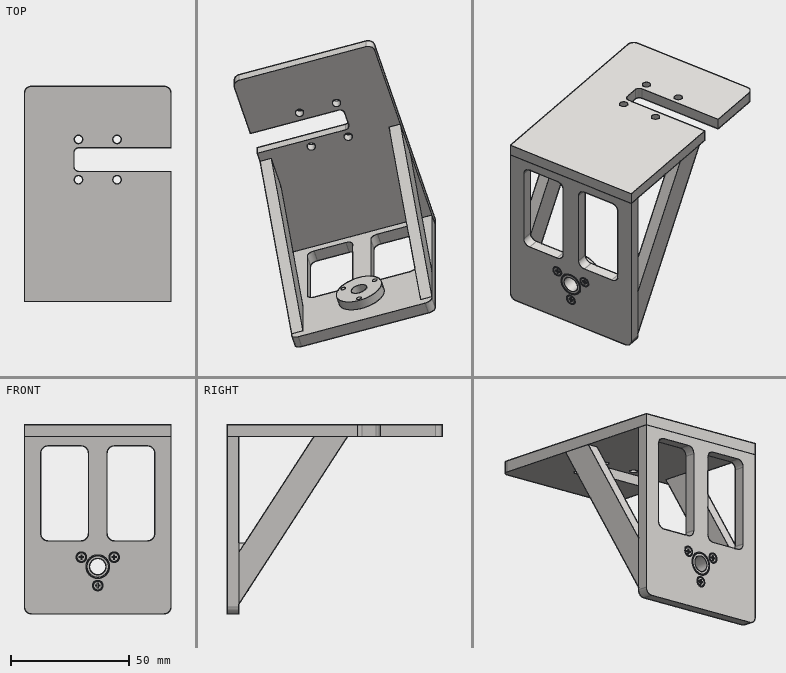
import cadquery as cq
import math

WIDTH = 62.0
DEPTH = 91.0
HEIGHT = 80.0
THICKNESS = 5.0
CORNER_RADIUS = 3.0
PLATE_UNDERSIDE = -THICKNESS

SLOT_CENTRE_Y = 60.0
SLOT_WIDTH = 9.9
SLOT_END_X = -10.0
SLOT_CORNER_RADIUS = 2.0
MOUNT_HOLE_DIAMETER = 3.5
MOUNT_HOLE_SPACING_X = 16.3
MOUNT_HOLE_SPACING_Y = 17.0

WINDOW_WIDTH = 20.0
WINDOW_HEIGHT = 40.0
WINDOW_GAP = 8.0
WINDOW_TOP = -9.0

BRACE_THICKNESS = 5.0
BRACE_OUTER_Y = 51.0
BRACE_INNER_Y = 36.7
BRACE_OUTER_Z = -75.9
BRACE_INNER_Z = -53.9

BUSHING_Z = -60.0
BUSHING_HOLE_DIAMETER = 10.0
BUSHING_DIAMETER = 9.0
BUSHING_BORE = 6.8
FLANGE_DIAMETER = 20.0
FLANGE_THICKNESS = 4.0

SCREW_COUNT = 3
SCREW_CIRCLE_RADIUS = 8.0
COUNTERBORE_DIAMETER = 4.5
HEAD_DIAMETER = 3.6
HEAD_HEIGHT = 2.0
SHANK_DIAMETER = 2.0
RECESS_LENGTH = 2.0
RECESS_WIDTH = 0.5
RECESS_DEPTH = 1.0


def cylinder(diameter, start_y, length, x=0, z=BUSHING_Z):
    """Cylinder along +Y, starting at start_y."""
    return cq.Workplane(cq.Solid.makeCylinder(
        diameter / 2, length, cq.Vector(x, start_y, z), cq.Vector(0, 1, 0)))


def screw_positions():
    """X and Z of the screws, evenly spaced with the first one straight below the bushing."""
    positions = []
    for index in range(SCREW_COUNT):
        angle = math.radians(-90 + index * 360 / SCREW_COUNT)
        x = SCREW_CIRCLE_RADIUS * math.cos(angle)
        z = BUSHING_Z + SCREW_CIRCLE_RADIUS * math.sin(angle)
        positions.append((x, z))
    return positions


def make_top_plate():
    plate = (
        cq.Workplane("XY", origin=(0, DEPTH / 2, PLATE_UNDERSIDE))
        .rect(WIDTH, DEPTH)
        .extrude(THICKNESS)
        .edges("|Z and >Y")
        .fillet(CORNER_RADIUS)
    )
    slot_length = WIDTH / 2 - SLOT_END_X
    slot = (
        cq.Workplane("XY", origin=(SLOT_END_X + slot_length / 2, SLOT_CENTRE_Y, PLATE_UNDERSIDE))
        .rect(slot_length, SLOT_WIDTH)
        .extrude(THICKNESS)
        .edges("|Z and <X")
        .fillet(SLOT_CORNER_RADIUS)
    )
    mount_holes = (
        cq.Workplane("XY", origin=(0, SLOT_CENTRE_Y, PLATE_UNDERSIDE))
        .rect(MOUNT_HOLE_SPACING_X, MOUNT_HOLE_SPACING_Y, forConstruction=True)
        .vertices()
        .circle(MOUNT_HOLE_DIAMETER / 2)
        .extrude(THICKNESS)
    )
    return plate.cut(slot).cut(mount_holes)


def make_window(centre_x):
    return (
        cq.Workplane("XY", origin=(centre_x, THICKNESS / 2, WINDOW_TOP - WINDOW_HEIGHT / 2))
        .box(WINDOW_WIDTH, THICKNESS, WINDOW_HEIGHT)
        .edges("|Y")
        .fillet(CORNER_RADIUS)
    )


def make_front_plate():
    plate_height = HEIGHT - THICKNESS
    plate = (
        cq.Workplane("XY", origin=(0, THICKNESS / 2, PLATE_UNDERSIDE - plate_height / 2))
        .box(WIDTH, THICKNESS, plate_height)
        .edges("|Y and <Z")
        .fillet(CORNER_RADIUS)
    )
    window_offset = (WINDOW_WIDTH + WINDOW_GAP) / 2
    for centre_x in (-window_offset, window_offset):
        plate = plate.cut(make_window(centre_x))

    plate = plate.cut(cylinder(BUSHING_HOLE_DIAMETER, 0, THICKNESS))
    for x, z in screw_positions():
        plate = plate.cut(cylinder(COUNTERBORE_DIAMETER, 0, HEAD_HEIGHT, x, z))
        plate = plate.cut(cylinder(SHANK_DIAMETER, 0, THICKNESS, x, z))
    return plate


def make_brace(start_x):
    """Diagonal brace whose -X side lies at start_x."""
    return (
        cq.Workplane("YZ", origin=(start_x, 0, 0))
        .moveTo(BRACE_OUTER_Y, PLATE_UNDERSIDE)
        .lineTo(BRACE_INNER_Y, PLATE_UNDERSIDE)
        .lineTo(THICKNESS, BRACE_INNER_Z)
        .lineTo(THICKNESS, BRACE_OUTER_Z)
        .close()
        .extrude(BRACE_THICKNESS)
    )


def make_bushing():
    """Sleeve flush with the front face, with its flange against the back of the front plate."""
    length = THICKNESS + FLANGE_THICKNESS
    bushing = cylinder(BUSHING_DIAMETER, 0, length)
    bushing = bushing.union(cylinder(FLANGE_DIAMETER, THICKNESS, FLANGE_THICKNESS))
    bushing = bushing.cut(cylinder(BUSHING_BORE, 0, length))
    for x, z in screw_positions():
        bushing = bushing.cut(cylinder(SHANK_DIAMETER, THICKNESS, FLANGE_THICKNESS, x, z))
    return bushing


def make_screw(x, z):
    """Screw with its head flush with the front face and its end flush with the flange."""
    screw = cylinder(HEAD_DIAMETER, 0, HEAD_HEIGHT, x, z)
    screw = screw.union(cylinder(SHANK_DIAMETER, 0, THICKNESS + FLANGE_THICKNESS, x, z))
    for size_x, size_z in ((RECESS_LENGTH, RECESS_WIDTH), (RECESS_WIDTH, RECESS_LENGTH)):
        recess_arm = (
            cq.Workplane("XY", origin=(x, RECESS_DEPTH / 2, z))
            .box(size_x, RECESS_DEPTH, size_z)
        )
        screw = screw.cut(recess_arm)
    return screw


top_plate = make_top_plate()
front_plate = make_front_plate()
braces = [make_brace(start_x) for start_x in (-WIDTH / 2, WIDTH / 2 - BRACE_THICKNESS)]
bushing = make_bushing()
screws = [make_screw(x, z) for x, z in screw_positions()]

result = cq.Compound.makeCompound([
    top_plate.val(),
    front_plate.val(),
    *[brace.val() for brace in braces],
    bushing.val(),
    *[screw.val() for screw in screws],
])